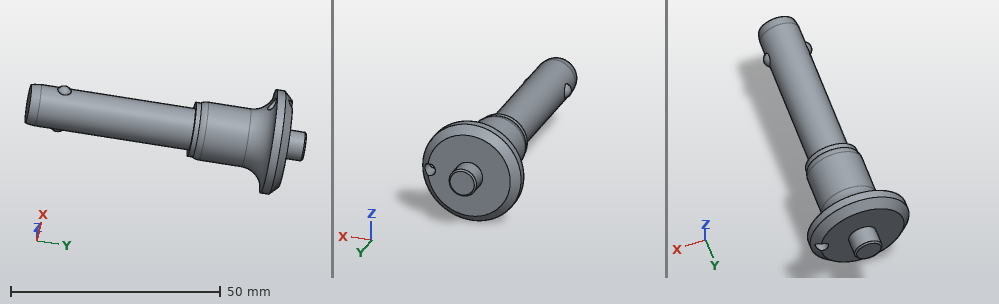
import cadquery as cq

length = 66.9

shank_radius = 5.0
tip_radius = 4.6
tip_length = 2.3

button_radius = 3.5
button_height = 4.7
button_chamfer = 0.4

flange_radius = 12.5
bevel_height = 2.0
rim_height = 2.0

sleeve_radius = 7.0
sleeve_length = 10.3
lip_radius = 6.55
lip_rounding_length = 1.6
lip_length = 1.2

ball_radius = 1.9
ball_reach = 6.0
ball_from_tip = 7.9

lanyard_hole_diameter = 3.0
lanyard_hole_offset = 10.05

button_top = length / 2
flange_top = button_top - button_height
rim_top = flange_top - bevel_height
rim_bottom = rim_top - rim_height
flare_radius = flange_radius - sleeve_radius
flange_top_radius = flange_radius - bevel_height
sleeve_top = rim_bottom - flare_radius
sleeve_bottom = sleeve_top - sleeve_length
lip_top = sleeve_bottom - lip_rounding_length
lip_bottom = lip_top - lip_length
tip_end = -length / 2
tip_start = tip_end + tip_length


def make_body():
    """Button, flared handle and shank as one turned profile."""
    profile = (
        cq.Workplane("XY")
        .moveTo(0, button_top)
        .lineTo(button_radius - button_chamfer, button_top)
        .lineTo(button_radius, button_top - button_chamfer)
        .lineTo(button_radius, flange_top)
        .lineTo(flange_top_radius, flange_top)
        .lineTo(flange_radius, rim_top)
        .lineTo(flange_radius, rim_bottom)
        .radiusArc((sleeve_radius, sleeve_top), -flare_radius)
        .lineTo(sleeve_radius, sleeve_bottom)
        .tangentArcPoint((lip_radius, lip_top), relative=False)
        .lineTo(lip_radius, lip_bottom)
        .lineTo(shank_radius, lip_bottom)
        .lineTo(shank_radius, tip_start)
        .tangentArcPoint((tip_radius, tip_end), relative=False)
        .lineTo(0, tip_end)
        .close()
    )
    return profile.revolve(360, (0, 0, 0), (0, 1, 0))


def make_ball(side):
    """Locking ball standing out of the shank on the given X side."""
    center = (side * (ball_reach - ball_radius), tip_end + ball_from_tip, 0)
    return cq.Workplane("XY").sphere(ball_radius).translate(center)


def make_lanyard_hole():
    """Cutter along Y that passes through the flange only."""
    return (
        cq.Workplane("XZ", origin=(lanyard_hole_offset, flange_top, 0))
        .circle(lanyard_hole_diameter / 2)
        .extrude(flange_top - sleeve_top)
    )


result = make_body()
for side in (-1, 1):
    result = result.union(make_ball(side))
result = result.cut(make_lanyard_hole())